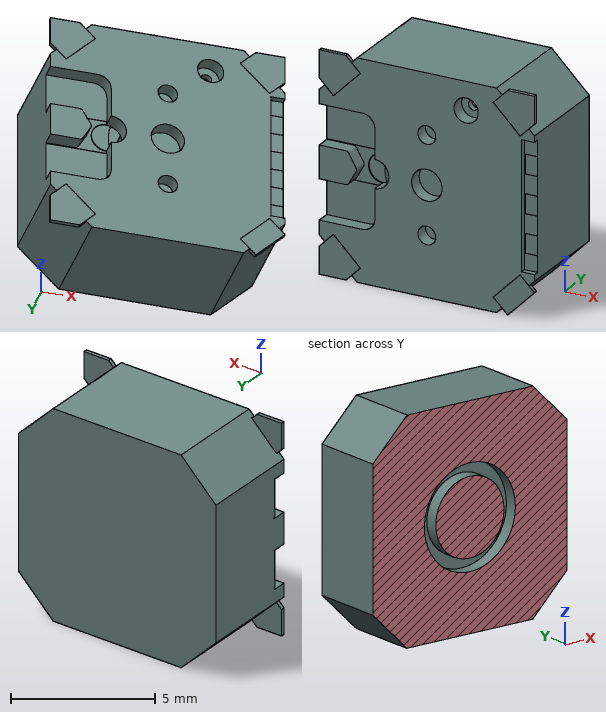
import cadquery as cq
import math

side = 8.5
height = 4.0
half_side = side / 2

corner_cut = 1.5
pad_standoff = 0.005
mount_y = -height / 2
face_y = mount_y + pad_standoff
back_y = height / 2

pad_thickness = 0.155
pad_width = 1.5
pad_inner_reach = 1.55
short_pad_length = 0.8

pocket_depth = 0.545
pocket_length = 2.2
pocket_half_width = 2.2
pocket_corner_radius = 0.5
channel_depth = 0.56
channel_half_width = 0.67
tongue_half_width = 0.64
tongue_shoulder = 1.13
tongue_length = 1.5
tongue_round = 0.15

sound_hole_diameter = 1.1
sound_hole_x = -half_side + pocket_length
sound_hole_depth = 0.6

chamber_diameter = 3.95
core_diameter = 3.0
chamber_length = 1.0

center_hole_diameter = 1.2
locating_hole_diameter = 0.7
locating_hole_z = 1.9
blind_hole_depth = 0.55
vent_diameter = 0.95
vent_core_diameter = 0.4
vent_x = 1.55
vent_z = 3.15
vent_core_depth = 0.8

notch_length = 0.52
notch_half_width = 2.5
notch_depth = 0.22
seat_length = 0.48
seat_width = 0.75
seat_pitch = 1.5
seat_depth = 0.01


def plane_at(y):
    """Sketch plane at height y whose local axes are -X and Z, extruding toward +Y."""
    return cq.Workplane(cq.Plane(origin=(0, y, 0), xDir=(-1, 0, 0), normal=(0, 1, 0)))


def prism(points, y_start, length):
    """Prism of an (x, z) outline running from y_start toward +Y."""
    return plane_at(y_start).polyline([(-x, z) for x, z in points]).close().extrude(length)


def block(x_min, x_max, z_min, z_max, y_start, length):
    corners = [(x_min, z_min), (x_max, z_min), (x_max, z_max), (x_min, z_max)]
    return prism(corners, y_start, length)


def cylinder(x, z, diameter, y_start, length):
    return plane_at(y_start).center(-x, z).circle(diameter / 2).extrude(length)


def make_housing():
    block_length = back_y - face_y
    housing = block(-half_side, half_side, -half_side, half_side, face_y, block_length)
    return housing.edges("|Y").chamfer(corner_cut)


def make_pad(x_sign, z_sign, is_short):
    corner_distance = half_side * math.sqrt(2)
    inner = corner_distance - pad_inner_reach
    outer = inner + short_pad_length if is_short else corner_distance
    strip = block(inner, outer, -pad_width / 2, pad_width / 2, mount_y, pad_thickness)
    angle = math.degrees(math.atan2(z_sign, x_sign))
    strip = strip.rotate((0, 0, 0), (0, 1, 0), -angle)
    footprint = block(-half_side, half_side, -half_side, half_side, mount_y, pad_thickness)
    return strip.intersect(footprint)


def make_tongue():
    tip_x = -half_side + tongue_length
    shoulder_x = -half_side + tongue_shoulder
    outline = [
        (-half_side, -tongue_half_width),
        (shoulder_x, -tongue_half_width),
        (tip_x, 0),
        (shoulder_x, tongue_half_width),
        (-half_side, tongue_half_width),
    ]
    tongue = prism(outline, face_y, channel_depth)
    return tongue.edges("|Y and (not <X)").fillet(tongue_round)


def make_side_pocket():
    pocket_end = -half_side + pocket_length
    pocket = block(
        -half_side, pocket_end, -pocket_half_width, pocket_half_width, face_y, pocket_depth
    )
    pocket = pocket.edges("|Y and >X").fillet(pocket_corner_radius)
    channel = block(
        -half_side, pocket_end, -channel_half_width, channel_half_width, face_y, channel_depth
    )
    return pocket.union(channel).cut(make_tongue())


def make_sound_hole():
    return cylinder(sound_hole_x, 0, sound_hole_diameter, face_y, sound_hole_depth)


def make_chamber():
    ceiling_y = face_y + sound_hole_depth
    chamber = cylinder(0, 0, chamber_diameter, ceiling_y, chamber_length)
    return chamber.cut(cylinder(0, 0, core_diameter, ceiling_y, chamber_length))


def make_face_holes():
    holes = cylinder(0, 0, center_hole_diameter, face_y, blind_hole_depth)
    for z in (-locating_hole_z, locating_hole_z):
        holes = holes.union(cylinder(0, z, locating_hole_diameter, face_y, blind_hole_depth))
    holes = holes.union(cylinder(vent_x, vent_z, vent_diameter, face_y, blind_hole_depth))
    return holes.union(cylinder(vent_x, vent_z, vent_core_diameter, face_y, vent_core_depth))


def make_edge_notch():
    notch = block(
        half_side - notch_length, half_side, -notch_half_width, notch_half_width, face_y, notch_depth
    )
    for index in (-1, 0, 1):
        z = index * seat_pitch
        seat = block(
            half_side - seat_length,
            half_side,
            z - seat_width / 2,
            z + seat_width / 2,
            face_y,
            notch_depth + seat_depth,
        )
        notch = notch.union(seat)
    return notch


result = make_housing()
for x_sign in (-1, 1):
    for z_sign in (-1, 1):
        result = result.union(make_pad(x_sign, z_sign, is_short=(x_sign > 0 and z_sign < 0)))
for make_cutter in (make_side_pocket, make_sound_hole, make_chamber, make_face_holes, make_edge_notch):
    result = result.cut(make_cutter())